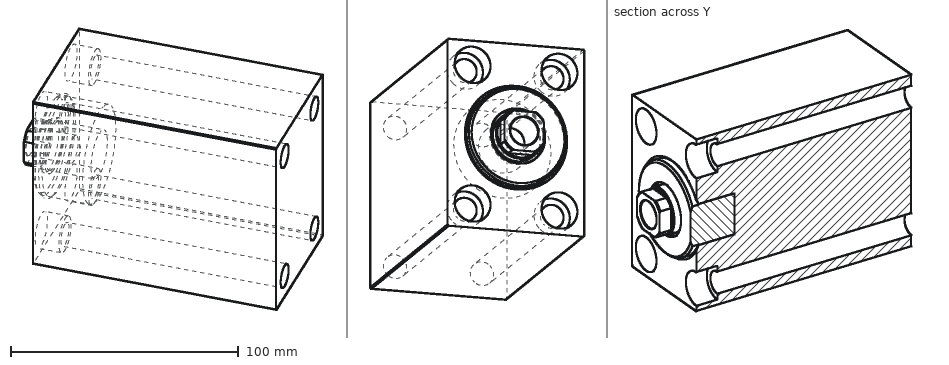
import cadquery as cq
import math

block_length = 113.0
block_width = 63.0
block_height = 85.0
block_edge_chamfer = 0.5
bore_mouth_diameter = 47.1

mount_spacing_y = 40.0
mount_spacing_z = 63.0
mount_hole_diameter = 10.8
mount_bore_diameter = 16.5
mount_bore_depth = 11.0

gland_diameter = 44.8
gland_protrusion = 3.0
gland_depth = 20.0
gland_chamfer = 1.0
wiper_recess_diameter = 25.0
wiper_recess_depth = 2.0

rod_diameter = 22.0
rod_protrusion = 12.0
shank_chamfer = 0.5
nose_length = 6.0
nose_diameter = rod_diameter - 2 * shank_chamfer
nose_chamfer = 0.4
flats_width = 18.0

drill_diameter = 12.8
drill_depth = 20.0
drill_tip_angle = 118.0
drill_mouth_chamfer = 0.2

gland_front = -gland_protrusion
rod_front = -rod_protrusion
shank_front = rod_front + nose_length


def cylinder_x(start, end, diameter):
    """Round bar along the X axis."""
    return cq.Workplane("YZ").workplane(offset=start).circle(diameter / 2).extrude(end - start)


def revolve_x(profile):
    """Turn a closed (X, radius) outline about the X axis."""
    return cq.Workplane("XY").polyline(profile).close().revolve(360, (0, 0, 0), (1, 0, 0))


def make_housing():
    block = cq.Workplane("YZ").rect(block_width, block_height).extrude(block_length)
    block = block.edges("|X").chamfer(block_edge_chamfer)

    mount_hole = cylinder_x(0, block_length, mount_hole_diameter)
    mount_hole = mount_hole.union(cylinder_x(0, mount_bore_depth, mount_bore_diameter))
    for side_y in (-1, 1):
        for side_z in (-1, 1):
            place = (0, side_y * mount_spacing_y / 2, side_z * mount_spacing_z / 2)
            block = block.cut(mount_hole.translate(place))

    bore_radius = gland_diameter / 2
    mouth_radius = bore_mouth_diameter / 2
    gland_bore = revolve_x([
        (0, 0),
        (0, mouth_radius),
        (mouth_radius - bore_radius, bore_radius),
        (gland_depth, bore_radius),
        (gland_depth, 0),
    ])
    return block.cut(gland_bore)


def make_gland():
    outer_radius = gland_diameter / 2
    recess_radius = wiper_recess_diameter / 2
    recess_floor = gland_front + wiper_recess_depth
    bore_radius = rod_diameter / 2
    return revolve_x([
        (gland_front, recess_radius),
        (gland_front, outer_radius - gland_chamfer),
        (gland_front + gland_chamfer, outer_radius),
        (gland_depth, outer_radius),
        (gland_depth, bore_radius),
        (recess_floor, bore_radius),
        (recess_floor, recess_radius),
    ])


def make_rod():
    shank = cylinder_x(shank_front, gland_depth, rod_diameter).faces("<X").chamfer(shank_chamfer)

    nose = cylinder_x(rod_front, shank_front, nose_diameter).faces("<X").chamfer(nose_chamfer)
    flats = cq.Workplane("YZ").workplane(offset=rod_front).rect(flats_width, flats_width).extrude(nose_length)
    nose = nose.intersect(flats)

    drill_radius = drill_diameter / 2
    drill_end = rod_front + drill_depth
    drill_tip_length = drill_radius / math.tan(math.radians(drill_tip_angle / 2))
    drilled_hole = revolve_x([
        (rod_front, 0),
        (rod_front, drill_radius + drill_mouth_chamfer),
        (rod_front + drill_mouth_chamfer, drill_radius),
        (drill_end, drill_radius),
        (drill_end + drill_tip_length, 0),
    ])
    return shank.union(nose).cut(drilled_hole)


housing = make_housing()
gland = make_gland()
rod = make_rod()

result = cq.Compound.makeCompound([housing.val(), gland.val(), rod.val()])